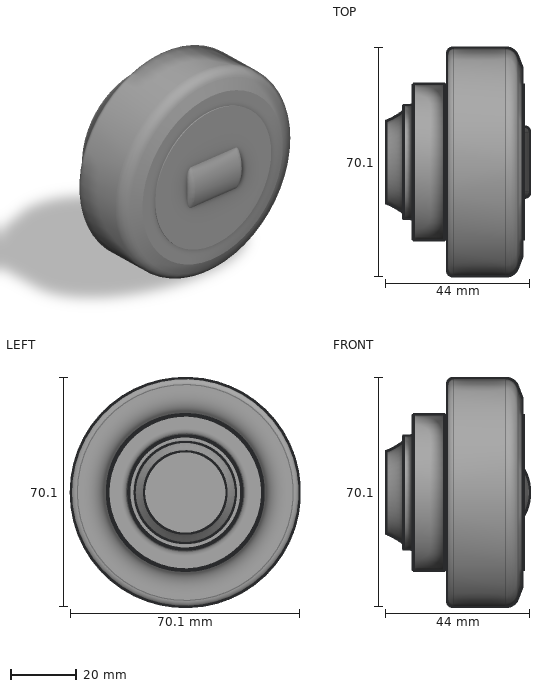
import cadquery as cq
import math


nose_end_radius = 12.6
nose_mid_radius = 13.8
nose_base_radius = 15.5
nose_length = 5.1

collar_radius = 35.0 / 2
collar_chamfer = 0.35
collar_root_fillet = 0.5
flange_start = 8.05
flange_end = 18.15
flange_radius = 48.0 / 2
flange_chamfer = 0.5

neck_radius = 21.2

wheel_start = 18.6
wheel_end = 41.7
wheel_radius = 35.05
wheel_back_fillet = 2.0
shoulder_start = 36.5
shoulder_radius = 4.0
shoulder_angle = math.radians(69)

cover_end = 42.05
cover_radius = 47.3 / 2

overall_length = 44.0
side_roller_radius = 14.0
side_roller_width = 21.9
side_roller_fillet = 1.9


def shoulder_point(angle):
    """Point on the wheel's shoulder arc, turned by angle from the tread."""
    x = shoulder_start + shoulder_radius * math.sin(angle)
    radius = wheel_radius - shoulder_radius * (1 - math.cos(angle))
    return (x, radius)


def make_body():
    """Hub, flange, wheel and cover as one turned profile."""
    root_x = flange_start - collar_root_fillet
    root_radius = collar_radius + collar_root_fillet
    root_mid_offset = collar_root_fillet * math.sqrt(0.5)
    root_mid = (root_x + root_mid_offset, root_radius - root_mid_offset)

    back_mid_offset = wheel_back_fillet * (1 - math.sqrt(0.5))
    back_mid = (wheel_start + back_mid_offset, wheel_radius - back_mid_offset)

    shoulder_x, shoulder_end_radius = shoulder_point(shoulder_angle)
    bevel_drop = (wheel_end - shoulder_x) * math.tan(shoulder_angle)

    profile = (
        cq.Workplane("XY")
        .lineTo(0, nose_end_radius)
        .threePointArc((nose_length / 2, nose_mid_radius), (nose_length, nose_base_radius))
        .lineTo(nose_length, collar_radius - collar_chamfer)
        .lineTo(nose_length + collar_chamfer, collar_radius)
        .lineTo(root_x, collar_radius)
        .threePointArc(root_mid, (flange_start, root_radius))
        .lineTo(flange_start, flange_radius - flange_chamfer)
        .lineTo(flange_start + flange_chamfer, flange_radius)
        .lineTo(flange_end - flange_chamfer, flange_radius)
        .lineTo(flange_end, flange_radius - flange_chamfer)
        .lineTo(flange_end, neck_radius)
        .lineTo(wheel_start, neck_radius)
        .lineTo(wheel_start, wheel_radius - wheel_back_fillet)
        .threePointArc(back_mid, (wheel_start + wheel_back_fillet, wheel_radius))
        .lineTo(shoulder_start, wheel_radius)
        .threePointArc(shoulder_point(shoulder_angle / 2), (shoulder_x, shoulder_end_radius))
        .lineTo(wheel_end, shoulder_end_radius - bevel_drop)
        .lineTo(wheel_end, cover_radius)
        .lineTo(cover_end, cover_radius)
        .lineTo(cover_end, 0)
        .close()
    )
    return profile.revolve(360, (0, 0, 0), (1, 0, 0))


def make_side_roller():
    """Round-edged cylinder along Y; only its outer segment shows."""
    return (
        cq.Workplane("XZ")
        .center(overall_length - side_roller_radius, 0)
        .circle(side_roller_radius)
        .extrude(side_roller_width / 2, both=True)
        .edges("%CIRCLE")
        .fillet(side_roller_fillet)
    )


result = make_body().union(make_side_roller())